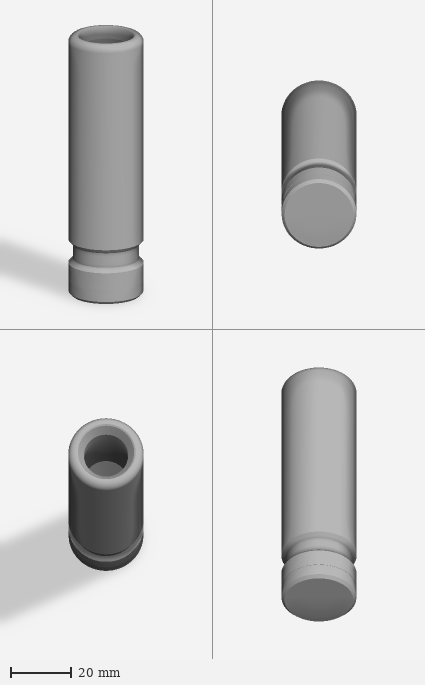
import cadquery as cq
import math

length = 90.0
body_radius = 12.5
top_round = 2.5

groove_radius = 11.0
groove_bottom = 11.0
groove_top = 19.0
groove_depth = body_radius - groove_radius

spigot_radius = 12.4
spigot_height = 5.0
base_chamfer = 1.0

rim_radius = 9.8
cone_radius = 9.3
bore_radius = 7.3
rim_angle = 120.0
cone_angle = 60.0
bore_depth = 32.0
drill_point_angle = 118.0


def cone_height(large_radius, small_radius, included_angle):
    """Axial length of a cone between two radii, for an included angle in degrees."""
    return (large_radius - small_radius) / math.tan(math.radians(included_angle / 2))


def make_body():
    """Revolve the outer outline into a solid pillar."""
    round_mid = top_round * math.sqrt(0.5)
    round_center_r = body_radius - top_round
    round_center_z = length - top_round
    return (
        cq.Workplane("XZ")
        .moveTo(0, 0)
        .lineTo(spigot_radius - base_chamfer, 0)
        .lineTo(spigot_radius, base_chamfer)
        .lineTo(spigot_radius, spigot_height)
        .lineTo(body_radius, spigot_height)
        .lineTo(body_radius, groove_bottom)
        .lineTo(groove_radius, groove_bottom + groove_depth)
        .lineTo(groove_radius, groove_top - groove_depth)
        .lineTo(body_radius, groove_top)
        .lineTo(body_radius, round_center_z)
        .threePointArc(
            (round_center_r + round_mid, round_center_z + round_mid),
            (round_center_r, length),
        )
        .lineTo(0, length)
        .close()
        .revolve(360, (0, 0), (0, 1))
    )


def make_centre_hole():
    """Revolve the stepped profile of the blind centre hole."""
    cone_top = length - cone_height(rim_radius, cone_radius, rim_angle)
    bore_top = cone_top - cone_height(cone_radius, bore_radius, cone_angle)
    bore_floor = length - bore_depth
    drill_tip = bore_floor - cone_height(bore_radius, 0, drill_point_angle)
    return (
        cq.Workplane("XZ")
        .moveTo(0, drill_tip)
        .lineTo(bore_radius, bore_floor)
        .lineTo(bore_radius, bore_top)
        .lineTo(cone_radius, cone_top)
        .lineTo(rim_radius, length)
        .lineTo(0, length)
        .close()
        .revolve(360, (0, 0), (0, 1))
    )


result = make_body().cut(make_centre_hole())